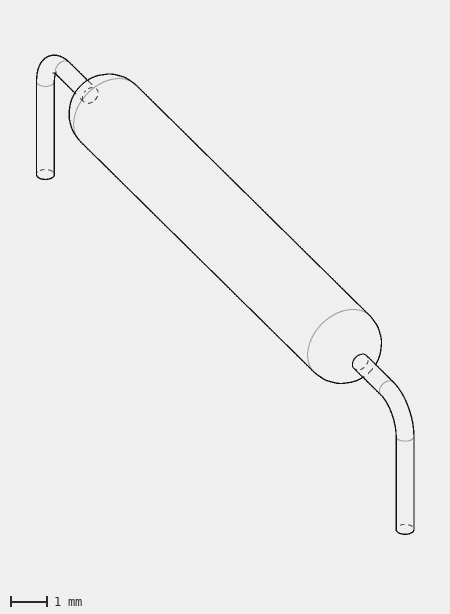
import cadquery as cq

body_diameter = 2.2
body_length = 15.3
end_round_radius = 1.04

wire_diameter = 0.5
lead_pitch = 20.32
bend_radius = 1.0
lead_drop = 4.1


def make_body():
    """Cylinder along X with rounded ends, revolved from its upper half outline."""
    end_x = body_length / 2
    body_radius = body_diameter / 2
    straight_end_x = end_x - end_round_radius
    end_flat_radius = body_radius - end_round_radius

    half_outline = (
        cq.Workplane("XZ")
        .moveTo(-end_x, 0)
        .lineTo(-end_x, end_flat_radius)
        .radiusArc((-straight_end_x, body_radius), end_round_radius)
        .lineTo(straight_end_x, body_radius)
        .radiusArc((end_x, end_flat_radius), end_round_radius)
        .lineTo(end_x, 0)
        .close()
    )
    return half_outline.revolve(360, (0, 0, 0), (1, 0, 0))


def make_leads():
    """One wire running tip to tip through the body, bent above each tip."""
    lead_x = lead_pitch / 2
    bend_start_x = lead_x - bend_radius

    path = (
        cq.Workplane("XZ")
        .moveTo(-lead_x, -lead_drop)
        .lineTo(-lead_x, -bend_radius)
        .radiusArc((-bend_start_x, 0), bend_radius)
        .lineTo(bend_start_x, 0)
        .radiusArc((lead_x, -bend_radius), bend_radius)
        .lineTo(lead_x, -lead_drop)
    )
    section = cq.Workplane("XY", origin=(-lead_x, 0, -lead_drop)).circle(wire_diameter / 2)
    return section.sweep(path)


result = make_body().union(make_leads())